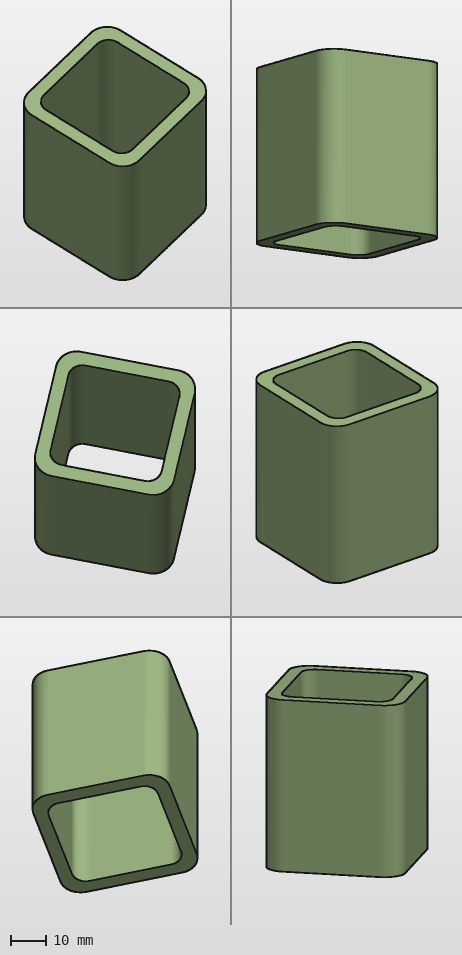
import cadquery as cq

side = 40.0
height = 50.0
wall = 4.0
outer_radius = 6.0
inner_radius = 4.0


def rounded_square_bar(width, corner_radius):
    """Square bar with rounded vertical edges, resting on Z = 0."""
    bar = cq.Workplane("XY").rect(width, width).extrude(height)
    return bar.edges("|Z").fillet(corner_radius)


outer_body = rounded_square_bar(side, outer_radius)
bore = rounded_square_bar(side - 2 * wall, inner_radius)

result = outer_body.cut(bore)